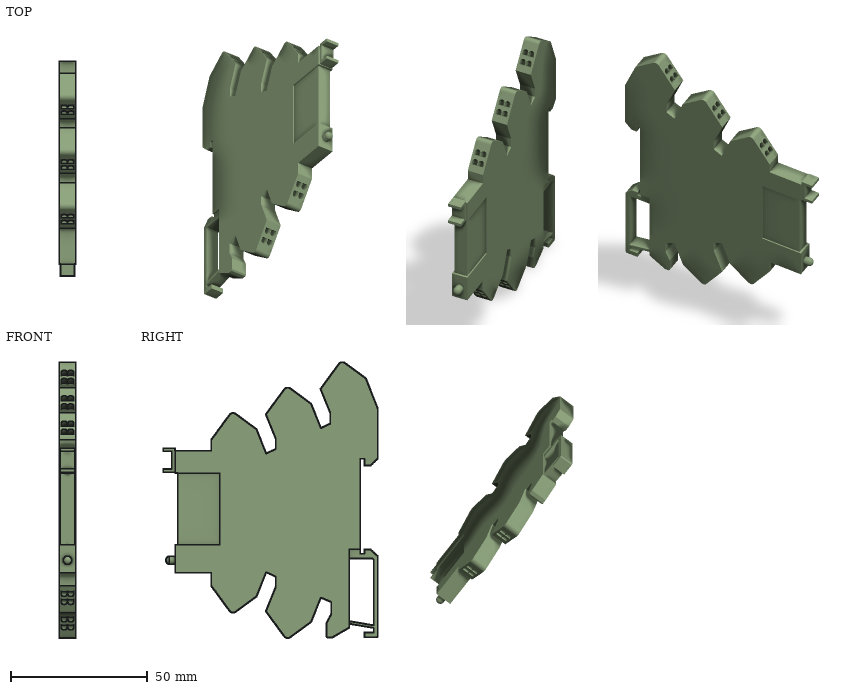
import cadquery as cq
import math


housing_width = 6.2
inset_width = 5.2

tooth_step_depth = 20.0
tooth_step_height = 9.3
tooth_slope = math.radians(36.3)
tooth_top_length = 11.1
tooth_face_length = 13.0
peak_radius = 1.6
first_shoulder_depth = 4.4
first_shoulder_height = 49.215

notch_floor_depth_drop = 3.55
notch_floor_height_drop = 8.85
notch_back_gap = 3.4
notch_back_bottom_rise = 1.6
notch_back_top_rise = 5.4

hole_width = 2.2
hole_pitch_x = 2.43
hole_pitch_face = 3.65
hole_row_middle = 7.45
hole_depth = 5.0

arm_front_depth = 74.2
arm_top = 22.8
arm_bottom = -22.0

relay_back_depth = 57.8
relay_front_depth = 73.3
relay_top = 14.55
relay_bottom = -11.6

rail_face_depth = 6.4
rail_top = 19.75
rail_bottom = -13.4
hook_side_top = 38.1
hook_side_bottom = 19.9
hook_tip_back_depth = 2.7
hook_tip_front_depth = 4.95
hook_tip_height = 17.25

leg_back_depth = 10.4
leg_back_bottom = -42.0
leg_toe_back_depth = 16.8
leg_toe_front_depth = 18.9
leg_bottom = -45.7
leg_toe_top = -40.5
leg_notch_depth = 17.1
leg_notch_bottom = -37.0
leg_toe_chamfer = 0.5

foot_wall = 1.6
foot_chamfer_height = 2.5
foot_bar_height = 3.35
foot_groove_depth = 1.5
foot_bottom = -45.6
foot_toe_height = 1.85
foot_edge_chamfer = 0.4
foot_inner_chamfer = 0.4
brace_back_top = -41.1
brace_front_top = -39.6
brace_height = 1.05

clip_front_depth = 78.6
clip_top = 23.7
clip_bottom = 14.8
clip_wall = 1.25

pin_height = -17.35
pin_radius = 1.55
pin_straight_length = 2.2
pin_length = 3.4


def at(depth, height):
    """Point of the YZ profile, at a depth from the rail side."""
    return (-depth, height)


def slab(points, width):
    """Prism of a YZ outline, centred on X = 0."""
    return cq.Workplane("YZ").polyline(points).close().extrude(width / 2, both=True)


def block(back, front, bottom, top, width):
    """Box between two depths and two heights, centred on X = 0."""
    return slab([at(back, bottom), at(front, bottom), at(front, top), at(back, top)], width)


def tooth_corners(index):
    """Shoulder, sharp peak and tip of an upper tooth as (depth, height)."""
    shoulder_depth = first_shoulder_depth + index * tooth_step_depth
    shoulder_height = first_shoulder_height - index * tooth_step_height
    peak_depth = shoulder_depth + tooth_top_length * math.cos(tooth_slope)
    peak_height = shoulder_height + tooth_top_length * math.sin(tooth_slope)
    tip_depth = peak_depth + tooth_face_length * math.sin(tooth_slope)
    tip_height = peak_height - tooth_face_length * math.cos(tooth_slope)
    return (shoulder_depth, shoulder_height), (peak_depth, peak_height), (tip_depth, tip_height)


def notch_corners(index):
    """Back top, back bottom and floor end of the notch behind an upper tooth."""
    shoulder, _, _ = tooth_corners(index)
    floor_depth = shoulder[0] - notch_floor_depth_drop
    floor_height = shoulder[1] - notch_floor_height_drop
    back_depth = floor_depth - notch_back_gap
    return (
        (back_depth, floor_height + notch_back_top_rise),
        (back_depth, floor_height + notch_back_bottom_rise),
        (floor_depth, floor_height),
    )


def mirrored(corners):
    """The same corners below the mirror plane, in reverse order."""
    return [(depth, -height) for depth, height in reversed(corners)]


def housing():
    first_tooth, second_tooth, third_tooth = [tooth_corners(index) for index in range(3)]
    rear_notch = notch_corners(1)
    front_notch = notch_corners(2)
    front_teeth = [*second_tooth, *front_notch, *third_tooth]
    arm_back_depth = third_tooth[-1][0]
    rear_notch_floor = rear_notch[-1]
    leg_notch_top = rear_notch[1][1]

    corners = [
        (0, hook_side_top),
        *first_tooth,
        *rear_notch,
        *front_teeth,
        (arm_back_depth, arm_top),
        (arm_front_depth, arm_top),
        (arm_front_depth, arm_bottom),
        (arm_back_depth, arm_bottom),
        *mirrored(front_teeth),
        *mirrored([rear_notch_floor]),
        (leg_notch_depth, -leg_notch_top),
        (leg_notch_depth, leg_notch_bottom),
        (leg_toe_front_depth, leg_toe_top),
        (leg_toe_front_depth, leg_bottom + leg_toe_chamfer),
        (leg_toe_front_depth - leg_toe_chamfer, leg_bottom),
        (leg_toe_back_depth, leg_bottom),
        (leg_back_depth, leg_back_bottom),
        (leg_back_depth, rail_bottom),
        (rail_face_depth, rail_bottom),
        (rail_face_depth, rail_top),
        (hook_tip_front_depth, rail_top),
        (hook_tip_front_depth, hook_tip_height),
        (hook_tip_back_depth, hook_tip_height),
        (0, hook_side_bottom),
    ]
    body = slab([at(*corner) for corner in corners], housing_width)
    peaks = [first_tooth[1], second_tooth[1], third_tooth[1]]
    peaks += mirrored(peaks[1:])
    for depth, height in peaks:
        peak_edge = cq.selectors.NearestToPointSelector((0, -depth, height))
        body = body.edges(peak_edge).fillet(peak_radius)
    return body


def wire_holes(index, side):
    """Four blind holes square to a tooth face; side is 1 above and -1 below."""
    _, peak, _ = tooth_corners(index)
    to_tip = cq.Vector(0, -math.sin(tooth_slope), -side * math.cos(tooth_slope))
    inward = cq.Vector(0, math.cos(tooth_slope), -side * math.sin(tooth_slope))
    middle = cq.Vector(0, -peak[0], side * peak[1]) + to_tip * hole_row_middle
    face = cq.Plane(origin=middle.toTuple(), xDir=to_tip.toTuple(), normal=inward.toTuple())
    centres = cq.Workplane(face).rarray(hole_pitch_face, hole_pitch_x, 2, 2)
    round_ends = centres.circle(hole_width / 2).extrude(hole_depth)
    square_ends = (
        cq.Workplane(face)
        .center(hole_width / 4, 0)
        .rarray(hole_pitch_face, hole_pitch_x, 2, 2)
        .rect(hole_width / 2, hole_width)
        .extrude(hole_depth)
    )
    return round_ends.union(square_ends)


def rail_foot():
    bar_bottom = rail_bottom - foot_bar_height
    toe_top = foot_bottom + foot_toe_height
    frame = slab(
        [
            at(leg_back_depth, rail_bottom),
            at(rail_face_depth, rail_bottom),
            at(rail_face_depth, rail_bottom - foot_groove_depth),
            at(hook_tip_front_depth, rail_bottom - foot_groove_depth),
            at(hook_tip_front_depth, rail_bottom),
            at(hook_tip_back_depth, rail_bottom),
            at(0, rail_bottom - foot_chamfer_height),
            at(0, foot_bottom + foot_edge_chamfer),
            at(foot_edge_chamfer, foot_bottom),
            at(hook_tip_front_depth, foot_bottom),
            at(hook_tip_front_depth, toe_top),
            at(foot_wall, toe_top),
            at(foot_wall, bar_bottom - foot_inner_chamfer),
            at(foot_wall + foot_inner_chamfer, bar_bottom),
            at(leg_back_depth, bar_bottom),
        ],
        inset_width,
    )
    brace = slab(
        [
            at(foot_wall, brace_back_top),
            at(leg_back_depth, brace_front_top),
            at(leg_back_depth, brace_front_top - brace_height),
            at(foot_wall, brace_back_top - brace_height),
        ],
        inset_width,
    )
    return frame.union(brace)


def latch_clip():
    clip = block(arm_front_depth, clip_front_depth, clip_bottom, clip_top, inset_width)
    opening = block(
        arm_front_depth + clip_wall,
        clip_front_depth,
        clip_bottom + clip_wall,
        clip_top - clip_wall,
        inset_width,
    )
    return clip.cut(opening)


def indicator_pin():
    """Round pin with a spherical end, turned about its Y axis."""
    dome_length = pin_length - pin_straight_length
    dome_radius = (pin_radius**2 + dome_length**2) / (2 * dome_length)
    dome_centre_depth = pin_length - dome_radius
    middle_angle = math.asin(pin_radius / dome_radius) / 2
    dome_middle_radius = dome_radius * math.sin(middle_angle)
    dome_middle_depth = dome_centre_depth + dome_radius * math.cos(middle_angle)
    profile = (
        cq.Workplane("XY", origin=(0, -arm_front_depth, pin_height))
        .lineTo(pin_radius, 0)
        .lineTo(pin_radius, -pin_straight_length)
        .threePointArc((dome_middle_radius, -dome_middle_depth), (0, -pin_length))
        .close()
    )
    return profile.revolve(360, (0, 0, 0), (0, 1, 0))


result = housing()
result = result.cut(block(relay_back_depth, arm_front_depth, relay_bottom, relay_top, housing_width))
result = result.union(block(relay_back_depth, relay_front_depth, relay_bottom, relay_top, inset_width))
for tooth in range(3):
    result = result.cut(wire_holes(tooth, 1))
for tooth in range(1, 3):
    result = result.cut(wire_holes(tooth, -1))
result = result.union(rail_foot())
result = result.union(latch_clip())
result = result.union(indicator_pin())